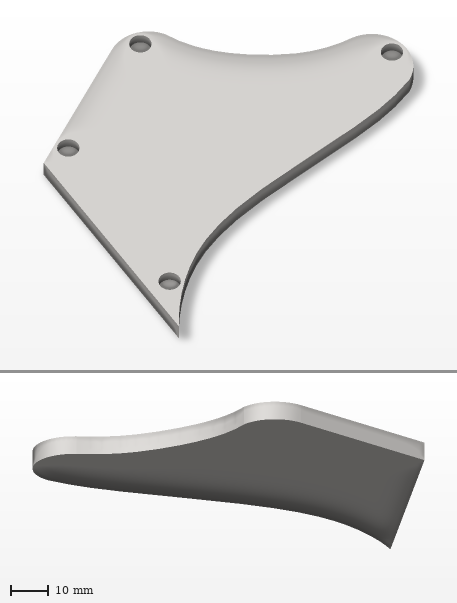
import cadquery as cq

thickness = 5.0
width = 76.4
length = 114.3
tail_tip = (56.6, 0.0)
left_edge_bottom = 36.0

corner_radius = 10.7
corner_center = (corner_radius, 79.2)

lobe_radius = 11.1
lobe_center = (width - lobe_radius, length - lobe_radius)

concave_edge_points = [(19.2, 89.5), (36.1, 94.0), (47.2, 100.2)]
right_edge_points = [(74.3, 93.8), (68.6, 79.1), (61.0, 62.7), (54.2, 46.2), (50.2, 27.5), (52.2, 11.0)]

hole_diameter = 6.0
hole_depth = 3.0
hole_centers = [(6.1, 84.1), (68.1, 109.9), (3.8, 43.5), (47.7, 13.1)]


def point_on_circle(center, radius, x_direction, y_direction):
    """Point of a circle in the given direction from its center."""
    size = (x_direction**2 + y_direction**2) ** 0.5
    return (
        center[0] + radius * x_direction / size,
        center[1] + radius * y_direction / size,
    )


def make_plate():
    corner_start = point_on_circle(corner_center, corner_radius, -1, 0)
    corner_middle = point_on_circle(corner_center, corner_radius, -1, 1)
    corner_end = point_on_circle(corner_center, corner_radius, 0, 1)
    lobe_start = point_on_circle(lobe_center, lobe_radius, -4, 3)
    lobe_middle = point_on_circle(lobe_center, lobe_radius, 1, 1)
    lobe_end = point_on_circle(lobe_center, lobe_radius, 1, 0)
    return (
        cq.Workplane("XY")
        .moveTo(*tail_tip)
        .lineTo(0, left_edge_bottom)
        .lineTo(*corner_start)
        .threePointArc(corner_middle, corner_end)
        .spline(concave_edge_points + [lobe_start], includeCurrent=True)
        .threePointArc(lobe_middle, lobe_end)
        .spline(right_edge_points + [tail_tip], includeCurrent=True)
        .close()
        .extrude(thickness)
    )


def make_holes():
    return (
        cq.Workplane("XY", origin=(0, 0, thickness - hole_depth))
        .pushPoints(hole_centers)
        .circle(hole_diameter / 2)
        .extrude(hole_depth)
    )


result = make_plate().cut(make_holes())